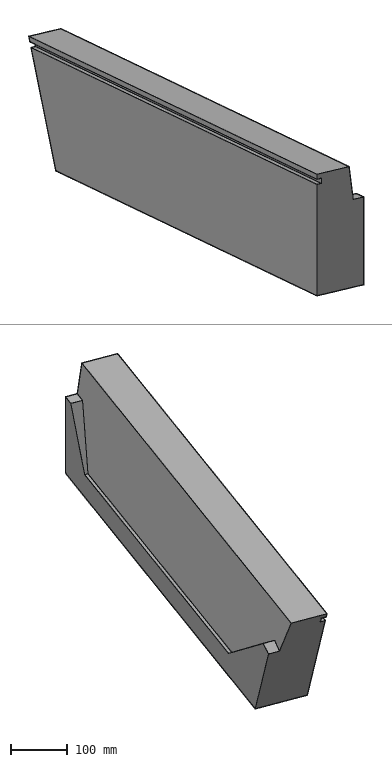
import cadquery as cq
import math

LENGTH = 885.34
DEPTH = 101.6
HEIGHT = 228.6

END_RAKE_ANGLE = math.radians(20)

TOP_DEPTH = 69.85
BACK_LEAN_ANGLE = math.radians(8)

LIP_HEIGHT = 9.525
GROOVE_HEIGHT = 9.525
GROOVE_DEPTH = 9.525

LEFT_LEDGE_WIDTH = 24.5
LEFT_LEDGE_END_HEIGHT = 154.2
RIGHT_LEDGE_WIDTH = 22.9
RIGHT_LEDGE_HEIGHT = 165.1
FLOOR_HEIGHT = 48.5
FLOOR_START_X = 196.0
FLOOR_END_X = 804.0


def raked_end_x(z):
    """X of the raked left end at height z."""
    return (HEIGHT - z) * math.tan(END_RAKE_ANGLE)


def leaning_back_y(z):
    """Y of the leaning back face at height z."""
    return TOP_DEPTH + (HEIGHT - z) * math.tan(BACK_LEAN_ANGLE)


def make_body():
    """Full-depth block with the raked left end."""
    outline = [
        (raked_end_x(0), 0),
        (LENGTH, 0),
        (LENGTH, HEIGHT),
        (0, HEIGHT),
    ]
    return cq.Workplane("XZ").polyline(outline).close().extrude(-DEPTH)


def make_groove():
    """Rectangular groove along the whole front face."""
    groove_bottom = HEIGHT - LIP_HEIGHT - GROOVE_HEIGHT
    groove = cq.Workplane("XY").box(LENGTH, GROOVE_DEPTH, GROOVE_HEIGHT, centered=False)
    return groove.translate((0, 0, groove_bottom))


def make_space_behind_back():
    """Everything above the floor between the leaning back face and the rear of the block."""
    outline = [
        (TOP_DEPTH, HEIGHT),
        (leaning_back_y(FLOOR_HEIGHT), FLOOR_HEIGHT),
        (DEPTH, FLOOR_HEIGHT),
        (DEPTH, HEIGHT),
    ]
    return cq.Workplane("YZ").polyline(outline).close().extrude(LENGTH)


def make_space_above_shelf():
    """Full-depth space above the ledges, the ramps and the floor."""
    ledge_run = LEFT_LEDGE_WIDTH * math.cos(END_RAKE_ANGLE)
    ledge_rise = LEFT_LEDGE_WIDTH * math.sin(END_RAKE_ANGLE)
    ledge_end_x = raked_end_x(LEFT_LEDGE_END_HEIGHT)
    height_at_zero_x = LEFT_LEDGE_END_HEIGHT - ledge_end_x * math.tan(END_RAKE_ANGLE)
    outline = [
        (0, HEIGHT),
        (0, height_at_zero_x),
        (ledge_end_x + ledge_run, LEFT_LEDGE_END_HEIGHT + ledge_rise),
        (FLOOR_START_X, FLOOR_HEIGHT),
        (FLOOR_END_X, FLOOR_HEIGHT),
        (LENGTH - RIGHT_LEDGE_WIDTH, RIGHT_LEDGE_HEIGHT),
        (LENGTH, RIGHT_LEDGE_HEIGHT),
        (LENGTH, HEIGHT),
    ]
    return cq.Workplane("XZ").polyline(outline).close().extrude(-DEPTH)


rear_cut = make_space_behind_back().intersect(make_space_above_shelf())
result = make_body().cut(make_groove()).cut(rear_cut)